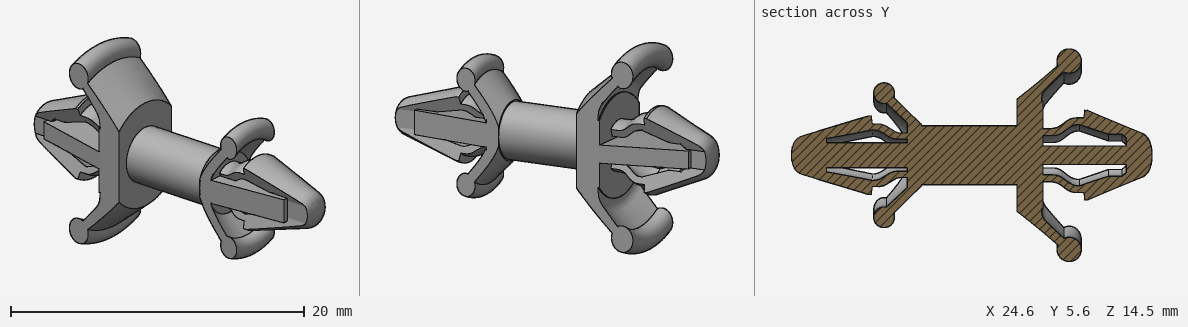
import cadquery as cq
import math

LENGTH = 24.58

STEM_RADIUS = 2.02
EMBED = 0.25

LARGE_CUP_HALF_WIDTH = 2.8
LARGE_CUP_FLOOR = 7.42
LARGE_CUP_BACK = 9.22
SMALL_CUP_HALF_WIDTH = STEM_RADIUS
SMALL_CUP_FLOOR = 7.9
SMALL_CUP_BACK = 8.87

PAD_RADIUS = 3.66
PAD_HEIGHT = 0.1
PAD_RING_RADIUS = 3.8
PAD_BLEND_RADIUS = 0.98


def revolve_about_x(outline):
    """Turn a closed (x, radius) outline a full turn about the X axis."""
    return outline.close().revolve(360, (0, 0, 0), (1, 0, 0))


def trimmed_cup(body, bead_x, bead_ring_radius, bead_radius, half_width):
    """Add the rounded rim bead to a turned cup and cut both sides flat."""
    bead = cq.Workplane("XY").center(bead_x, bead_ring_radius).circle(bead_radius)
    bead = bead.revolve(360, (0, -bead_ring_radius, 0), (1, -bead_ring_radius, 0))
    slab = cq.Workplane("XY").box(2 * LENGTH, 2 * half_width, 2 * LENGTH)
    return body.union(bead).intersect(slab)


def large_cup():
    """Thick cup: the floor carries a raised pad, blended into the sloping wall."""
    bead_x, bead_ring_radius, bead_radius = 5.65, 6.42, 0.84
    back_radius = 3.83
    wall_outer_end = (6.02, 6.46)
    wall_inner_end = (5.92, 5.75)
    recess = LARGE_CUP_FLOOR + PAD_HEIGHT
    wall_slope = math.radians(45)

    def blend_point(angle):
        x = recess - PAD_BLEND_RADIUS * (1 - math.cos(angle))
        return x, PAD_RING_RADIUS + PAD_BLEND_RADIUS * math.sin(angle)

    outline = (
        cq.Workplane("XY")
        .moveTo(LARGE_CUP_BACK, 0)
        .lineTo(LARGE_CUP_BACK, back_radius)
        .lineTo(*wall_outer_end)
        .lineTo(*wall_inner_end)
        .lineTo(*blend_point(wall_slope))
        .threePointArc(blend_point(wall_slope / 2), blend_point(0))
        .lineTo(recess, PAD_RADIUS)
        .lineTo(LARGE_CUP_FLOOR, PAD_RADIUS)
        .lineTo(LARGE_CUP_FLOOR, 0)
    )
    return trimmed_cup(
        revolve_about_x(outline), bead_x, bead_ring_radius, bead_radius, LARGE_CUP_HALF_WIDTH
    )


def small_cup():
    """Thin cup with a flat floor and a straight sloping wall."""
    bead_x, bead_ring_radius, bead_radius = 6.32, 4.23, 0.71
    back_radius = 2.11
    floor_radius = 2.2
    wall_outer_end = (6.78, 4.15)
    wall_inner_end = (6.46, 3.55)
    outline = (
        cq.Workplane("XY")
        .moveTo(SMALL_CUP_BACK, 0)
        .lineTo(SMALL_CUP_BACK, back_radius)
        .lineTo(*wall_outer_end)
        .lineTo(*wall_inner_end)
        .lineTo(SMALL_CUP_FLOOR, floor_radius)
        .lineTo(SMALL_CUP_FLOOR, 0)
    )
    return trimmed_cup(
        revolve_about_x(outline), bead_x, bead_ring_radius, bead_radius, SMALL_CUP_HALF_WIDTH
    )


def plug_legs(nose_end, barb_start, barb_end, barb_back, neck, cavity, base_x):
    """Turned plug: rounded nose, cone, barb and S-shaped neck, hollow from the base.

    Points are (x, radius). The neck runs from its crest to its waist; the last two cavity
    points are the crest and waist of the hollow inside the neck.
    """
    nose_x, nose_radius = nose_end
    barb_x, barb_radius = barb_start
    cone_angle = math.atan2(barb_radius - nose_radius, barb_x - nose_x)
    nose_tangents = [(0, 1), (math.cos(cone_angle), math.sin(cone_angle))]
    crest, waist = neck
    level = [(1, 0), (1, 0)]
    shell = revolve_about_x(
        cq.Workplane("XY")
        .spline([nose_end], tangents=nose_tangents, includeCurrent=True)
        .lineTo(*barb_start)
        .lineTo(barb_end, barb_radius)
        .lineTo(barb_back, crest[1])
        .lineTo(*crest)
        .spline([waist], tangents=level, includeCurrent=True)
        .lineTo(base_x, waist[1])
        .lineTo(base_x, 0)
    )
    *cavity_front, cavity_crest, cavity_waist = cavity
    hollow = cq.Workplane("XY").moveTo(cavity_front[0][0], 0)
    for point in [*cavity_front, cavity_crest]:
        hollow = hollow.lineTo(*point)
    hollow = (
        hollow.spline([cavity_waist], tangents=level, includeCurrent=True)
        .lineTo(base_x, cavity_waist[1])
        .lineTo(base_x, 0)
    )
    return shell.cut(revolve_about_x(hollow))


def hourglass(slot_half_height, waist_half_width, flare_half_width, flare_height):
    """Long bar along X, narrow in the middle and flaring in width towards the top and bottom."""
    upper = [
        (waist_half_width, slot_half_height),
        (flare_half_width, flare_height),
    ]
    right = [(y, -z) for y, z in reversed(upper)] + upper
    left = [(-y, -z) for y, z in right]
    return cq.Workplane("YZ").polyline(right + left).close().extrude(LENGTH / 2)


def fin(tip_x, base_x, tip_half_width, base_half_width, half_height):
    """Flat middle fin, tapering in width from the cup floor to its square tip."""
    inner_x = base_x + EMBED
    outline = [
        (tip_x, -tip_half_width),
        (base_x, -base_half_width),
        (inner_x, -base_half_width),
        (inner_x, base_half_width),
        (base_x, base_half_width),
        (tip_x, tip_half_width),
    ]
    plate = cq.Workplane("XY").workplane(offset=-half_height).polyline(outline).close()
    return plate.extrude(2 * half_height)


def large_plug():
    legs = plug_legs(
        nose_end=(0.75, 1.55),
        barb_start=(4.4, 3.07),
        barb_end=4.6,
        barb_back=4.67,
        neck=[(5.14, 2.55), (6.9, 1.82)],
        cavity=[(1.77, 1.18), (2.06, 1.43), (2.97, 1.43), (4.97, 2.1), (6.78, 1.33)],
        base_x=LARGE_CUP_FLOOR + EMBED,
    ).intersect(
        hourglass(
            slot_half_height=0.65, waist_half_width=0.93, flare_half_width=1.85, flare_height=3.2
        )
    )
    return legs.union(
        fin(
            tip_x=1.33,
            base_x=LARGE_CUP_FLOOR,
            tip_half_width=1.3,
            base_half_width=LARGE_CUP_HALF_WIDTH,
            half_height=0.65,
        )
    )


def small_plug():
    legs = plug_legs(
        nose_end=(0.74, 1.33),
        barb_start=(5.24, 2.68),
        barb_end=5.45,
        barb_back=5.53,
        neck=[(5.87, 2.16), (7.55, 1.52)],
        cavity=[(2.4, 1.13), (5.53, 1.72), (7.28, 1.08)],
        base_x=SMALL_CUP_FLOOR + EMBED,
    ).intersect(
        hourglass(
            slot_half_height=0.65, waist_half_width=0.95, flare_half_width=1.7, flare_height=2.95
        )
    )
    return legs.union(
        fin(
            tip_x=1.97,
            base_x=SMALL_CUP_FLOOR,
            tip_half_width=1.38,
            base_half_width=SMALL_CUP_HALF_WIDTH,
            half_height=0.85,
        )
    )


def stem():
    """Round bar between the backs of the two cups, embedded a little in each."""
    start = LARGE_CUP_BACK - EMBED
    end = LENGTH - SMALL_CUP_BACK + EMBED
    return cq.Workplane("YZ").workplane(offset=start).circle(STEM_RADIUS).extrude(end - start)


large_end = large_cup().union(large_plug())
small_end = small_cup().union(small_plug())
small_end = small_end.mirror("YZ").translate((LENGTH, 0, 0))
result = large_end.union(stem()).union(small_end)